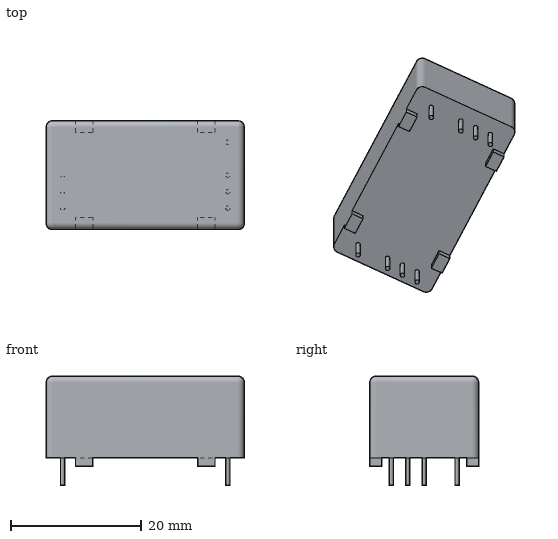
import cadquery as cq

length = 30.48
width = 16.75
case_height = 12.6
edge_radius = 1.0

pin_diameter = 0.67
pin_length = 4.2
pin_pitch = 2.53
row_spacing = 25.4
pin_steps = (-2, -1, 0, 2)

foot_length = 2.68
foot_width = 1.85
foot_height = 1.28
foot_spacing = 18.8


def make_case():
    """Block standing on Z = 0 with rounded upright and top edges."""
    block = cq.Workplane("XY").box(length, width, case_height, centered=(True, True, False))
    return block.edges("|Z or >Z").fillet(edge_radius)


def make_pins():
    """Round pins hanging below both ends of the case."""
    positions = [
        (side * row_spacing / 2, step * pin_pitch)
        for side in (-1, 1)
        for step in pin_steps
    ]
    return cq.Workplane("XY").pushPoints(positions).circle(pin_diameter / 2).extrude(-pin_length)


def make_feet():
    """Four rectangular feet under the long sides of the case."""
    return (
        cq.Workplane("XY")
        .rect(foot_spacing, width - foot_width, forConstruction=True)
        .vertices()
        .rect(foot_length, foot_width)
        .extrude(-foot_height)
    )


result = make_case().union(make_pins()).union(make_feet())